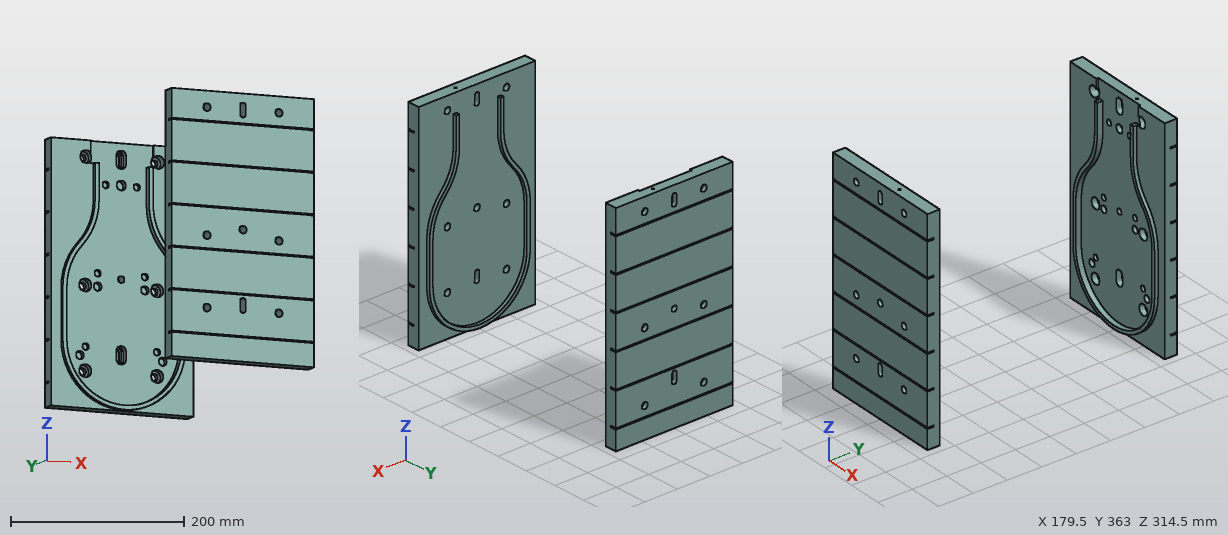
import cadquery as cq
import math

plate_width = 179.5
plate_height = 314.5
plate_thickness = 18.0
outer_y = 181.5
inner_y = outer_y - plate_thickness
plate_top = plate_height / 2
plate_bottom = -plate_top

groove_width = 1.8
groove_depth = 9.0
groove_span = 249.5
groove_count = 6
groove_pitch = groove_span / (groove_count - 1)
first_groove_z = plate_bottom + 29.0

ridge_height = 5.0
ridge_width = 5.0
ridge_top = 130.5
neck_half_width = 36.5
body_half_width = 77.3
bottom_centre_z = -79.0
shoulder_low_z = -18.0
neck_radius = 75.0
shoulder_radius = 81.3

recess_depth = 3.0
recess_mouth_width = 79.8
recess_floor_y = inner_y + recess_depth

edge_hole_diameter = 3.0
edge_hole_x = 25.0
edge_hole_depth = 14.5

mount_x = 45.5
upper_mount_z = 138.0
middle_mount_z = -12.5
slot_heights = [upper_mount_z, -91.5]
centre_hole_z = -2.5

mount_diameter = 9.0
slot_width = 7.3
slot_length = 17.5
front_lower_mount_z = -97.2
back_lower_mount_z = -113.0

mount_bore_diameter = 15.2
slot_bore_width = 12.0
slot_bore_length = 21.8
bore_depth = 8.5

port_diameter = 11.5
port_z = 107.7
port_depth = 8.0
pin_diameter = 8.0
pin_depth = 4.5
pin_pairs = [(19.5, 107.0), (29.7, 2.5), (45.0, -84.5)]
screw_diameter = 9.8
screw_depth = 6.0
screw_pairs = [(29.7, -13.0), (52.2, -95.0)]


def mirrored(pairs):
    """Each (x, z) place together with its mirror image across X = 0."""
    return [(side * x, z) for x, z in pairs for side in (-1, 1)]


def upright_plane(y):
    """Workplane with local axes X and Z whose extrusions run toward +Y."""
    return cq.Workplane(cq.Plane(origin=(0, y, 0), xDir=(-1, 0, 0), normal=(0, 1, 0)))


def drill(places, diameter, end_y):
    """Cylinders along Y from the ridge crest to end_y."""
    start_y = inner_y - ridge_height
    flipped = [(-x, z) for x, z in places]
    return upright_plane(start_y).pushPoints(flipped).circle(diameter / 2).extrude(end_y - start_y)


def mill_slots(heights, width, length, end_y):
    """Upright slots on the middle line, along Y from the ridge crest to end_y."""
    start_y = inner_y - ridge_height
    places = [(0, z) for z in heights]
    return upright_plane(start_y).pushPoints(places).slot2D(length, width, 90).extrude(end_y - start_y)


def bottle(inset, start_y, depth):
    """Solid bottle shape, moved inward by inset from the outer edge of the ridge."""
    neck_x = neck_half_width - inset
    body_x = body_half_width - inset
    concave_radius = neck_radius + inset
    convex_radius = shoulder_radius - inset

    turn = math.acos(1 - (body_x - neck_x) / (concave_radius + convex_radius))
    convex_centre_x = body_x - convex_radius
    concave_centre_x = neck_x + concave_radius
    neck_low_z = shoulder_low_z + (concave_radius + convex_radius) * math.sin(turn)

    def on_convex(angle):
        return (convex_centre_x + convex_radius * math.cos(angle),
                shoulder_low_z + convex_radius * math.sin(angle))

    def on_concave(angle):
        return (concave_centre_x - concave_radius * math.cos(angle),
                neck_low_z - concave_radius * math.sin(angle))

    def left(point):
        return (-point[0], point[1])

    return (
        upright_plane(start_y)
        .moveTo(-neck_x, ridge_top)
        .lineTo(neck_x, ridge_top)
        .lineTo(neck_x, neck_low_z)
        .threePointArc(on_concave(turn / 2), on_concave(turn))
        .threePointArc(on_convex(turn / 2), on_convex(0))
        .lineTo(body_x, bottom_centre_z)
        .threePointArc((0, bottom_centre_z - body_x), (-body_x, bottom_centre_z))
        .lineTo(*left(on_convex(0)))
        .threePointArc(left(on_convex(turn / 2)), left(on_convex(turn)))
        .threePointArc(left(on_concave(turn / 2)), (-neck_x, neck_low_z))
        .close()
        .extrude(depth)
    )


def grooves():
    """Saw cuts across the full width of the outer face."""
    places = [(0, outer_y, first_groove_z + i * groove_pitch) for i in range(groove_count)]
    return cq.Workplane("XY").pushPoints(places).box(
        plate_width, 2 * groove_depth, groove_width, combine=False
    )


def edge_hole():
    """Small blind hole down from the middle of the top edge."""
    return (
        cq.Workplane("XY", origin=(edge_hole_x, inner_y + plate_thickness / 2, plate_top))
        .circle(edge_hole_diameter / 2)
        .extrude(-edge_hole_depth)
    )


def plain_plate():
    """Grooved plate with its ridge, at the back (+Y) position."""
    plate = cq.Workplane("XY").box(plate_width, plate_thickness, plate_height)
    plate = plate.translate((0, inner_y + plate_thickness / 2, 0))
    ridge_y = inner_y - ridge_height
    ridge = bottle(0, ridge_y, ridge_height).cut(bottle(ridge_width, ridge_y, ridge_height))
    plate = plate.union(ridge)
    for groove in grooves().vals():
        plate = plate.cut(cq.Workplane(groove))
    return plate.cut(edge_hole())


def recess():
    """Floor inside the ridge, with a wider mouth from the ridge ends to the plate top."""
    mouth_height = plate_top - ridge_top
    mouth = cq.Workplane("XY").box(
        recess_mouth_width, recess_depth, mouth_height, centered=(True, False, False)
    ).translate((0, inner_y, ridge_top))
    return bottle(ridge_width, inner_y, recess_depth).union(mouth)


def mount_places(lower_z):
    """Mounting holes of a plate, whose lowest pair sits at lower_z."""
    return mirrored([(mount_x, upper_mount_z), (mount_x, middle_mount_z), (mount_x, lower_z)])


def make_front_plate():
    """Front plate: drilled at the back position, then mirrored across Y = 0."""
    places = mount_places(front_lower_mount_z) + [(0, centre_hole_z)]
    plate = plain_plate()
    plate = plate.cut(drill(places, mount_diameter, outer_y))
    plate = plate.cut(mill_slots(slot_heights, slot_width, slot_length, outer_y))
    return plate.mirror("XZ")


def make_back_plate():
    """Back plate: recessed inside the ridge, with counterbored and blind holes."""
    mounts = mount_places(back_lower_mount_z)
    bore_end = recess_floor_y + bore_depth
    plate = plain_plate().cut(recess())
    plate = plate.cut(drill(mounts, mount_diameter, outer_y))
    plate = plate.cut(drill(mounts, mount_bore_diameter, bore_end))
    plate = plate.cut(mill_slots(slot_heights, slot_width, slot_length, outer_y))
    plate = plate.cut(mill_slots(slot_heights, slot_bore_width, slot_bore_length, bore_end))
    plate = plate.cut(drill([(0, centre_hole_z)], pin_diameter, outer_y))
    plate = plate.cut(drill([(0, port_z)], port_diameter, recess_floor_y + port_depth))
    plate = plate.cut(drill(mirrored(pin_pairs), pin_diameter, recess_floor_y + pin_depth))
    return plate.cut(drill(mirrored(screw_pairs), screw_diameter, recess_floor_y + screw_depth))


front_plate = make_front_plate()
back_plate = make_back_plate()

result = cq.Compound.makeCompound([front_plate.val(), back_plate.val()])